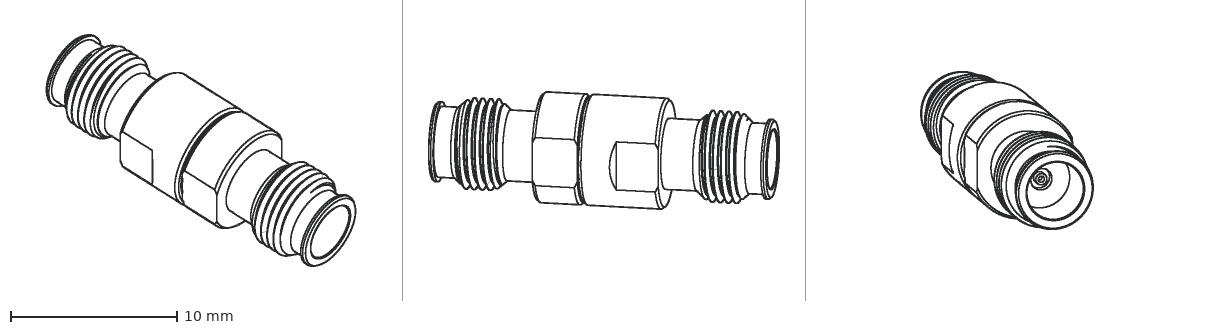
import cadquery as cq

LENGTH = 20.6
MIDDLE = LENGTH / 2

BODY_RADIUS = 3.348
BODY_START = 6.45
BODY_END = 11.29
NUT_START = 11.4
NUT_END = LENGTH - BODY_START
EDGE_LENGTH = 0.19
EDGE_DEPTH = 0.15
FLAT_OFFSET = 2.99
BODY_FLAT_END = 9.0

RUNOUT_SLOPE = 1.0
SQUARE_END = 0.0
CUT_MARGIN = 0.2

BARREL_RADIUS = 2.15
LIP_RADIUS = 2.4
LIP_LENGTH = 0.29
LIP_BEVEL_LENGTH = 0.15
LIP_BEVEL_DEPTH = 0.1

COLLAR_START = 1.32
COLLAR_END = 4.5
CONE_LENGTH = 0.7
CREST_RADIUS = 2.76
ROOT_RADIUS = 2.37
PITCH = 0.5
ROOT_WIDTH = 0.06
CREST_WIDTH = 0.05
THREAD_START = 1.3
THREAD_TURNS = 6.5
THREAD_SECTIONS = 4
MOUTH_OVERCUT = 0.02

BORE_RADIUS = 1.77
BORE_DEPTH = 2.99
BORE_BEVEL = 0.06
COAX_RADIUS = 0.65
COAX_DEPTH = 0.5
CONTACT_RADIUS = 0.35
CONTACT_HOLE_RADIUS = 0.19


def revolve_profile(points):
    """Turn an (x, radius) outline about the X axis."""
    return cq.Workplane("XY").polyline(points).close().revolve(360, (0, 0, 0), (1, 0, 0))


def disc(start, length, radius):
    """Cylinder along X."""
    return cq.Workplane("YZ").workplane(offset=start).circle(radius).extrude(length)


def chamfered_drum(start, end):
    """Cylinder of body radius, chamfered at both ends."""
    end_radius = BODY_RADIUS - EDGE_DEPTH
    return revolve_profile([
        (start, 0),
        (start, end_radius),
        (start + EDGE_LENGTH, BODY_RADIUS),
        (end - EDGE_LENGTH, BODY_RADIUS),
        (end, end_radius),
        (end, 0),
    ])


def flat_cutters(start, end, runout):
    """Two opposite blocks that cut wrench flats; runout slopes the far end outward."""
    depth = BODY_RADIUS - FLAT_OFFSET + CUT_MARGIN
    outline = [
        (start, FLAT_OFFSET),
        (end, FLAT_OFFSET),
        (end + runout * depth, FLAT_OFFSET + depth),
        (start, FLAT_OFFSET + depth),
    ]
    cutter = cq.Workplane("XY").polyline(outline).close().extrude(BODY_RADIUS, both=True)
    return cutter.union(cutter.mirror("XZ"))


def make_body():
    """Main body and nut, joined by a short neck as thick as the wrench flats."""
    body = chamfered_drum(BODY_START, BODY_END)
    body = body.cut(flat_cutters(BODY_START, BODY_FLAT_END, RUNOUT_SLOPE))
    nut = chamfered_drum(NUT_START, NUT_END)
    nut = nut.cut(flat_cutters(NUT_START, NUT_END, SQUARE_END))
    neck = disc(BODY_END, NUT_START - BODY_END, FLAT_OFFSET)
    return body.union(neck).union(nut)


def groove_section(first_turn, turns):
    """Stretch of the right-hand V groove, starting first_turn turns along the helix."""
    half_root = ROOT_WIDTH / 2
    flank_run = (PITCH - CREST_WIDTH - ROOT_WIDTH) / 2
    slope = flank_run / (CREST_RADIUS - ROOT_RADIUS)
    half_mouth = half_root + flank_run + slope * MOUTH_OVERCUT
    mouth_radius = CREST_RADIUS + MOUTH_OVERCUT
    outline = [
        (ROOT_RADIUS, -half_root),
        (mouth_radius, -half_mouth),
        (mouth_radius, half_mouth),
        (ROOT_RADIUS, half_root),
    ]
    helix = cq.Wire.makeHelix(PITCH, PITCH * turns, ROOT_RADIUS)
    groove = cq.Workplane("XZ").polyline(outline).close().sweep(helix, isFrenet=True)
    groove = groove.rotate((0, 0, 0), (0, 1, 0), 90).rotate((0, 0, 0), (1, 0, 0), 360 * first_turn)
    return groove.translate((THREAD_START + PITCH * first_turn, 0, 0))


def make_collar():
    """Double-coned collar whose thread groove runs out through both cones."""
    collar = revolve_profile([
        (COLLAR_START, 0),
        (COLLAR_START, BARREL_RADIUS),
        (COLLAR_START + CONE_LENGTH, CREST_RADIUS),
        (COLLAR_END - CONE_LENGTH, CREST_RADIUS),
        (COLLAR_END, BARREL_RADIUS),
        (COLLAR_END, 0),
    ])
    turns = THREAD_TURNS / THREAD_SECTIONS
    for index in range(THREAD_SECTIONS):
        collar = collar.cut(groove_section(index * turns, turns))
    return collar


def make_socket():
    """Volume removed from the jack: bevelled bore, then a ring around the hollow contact."""
    bore = revolve_profile([
        (0, 0),
        (0, BORE_RADIUS + BORE_BEVEL),
        (BORE_BEVEL, BORE_RADIUS),
        (BORE_DEPTH, BORE_RADIUS),
        (BORE_DEPTH, 0),
    ])
    ring = disc(BORE_DEPTH, COAX_DEPTH, COAX_RADIUS).cut(disc(BORE_DEPTH, COAX_DEPTH, CONTACT_RADIUS))
    hole = disc(BORE_DEPTH, COAX_DEPTH, CONTACT_HOLE_RADIUS)
    return bore.union(ring).union(hole)


def make_jack():
    """Jack whose mouth is at X = 0 and whose barrel reaches the body."""
    shell = revolve_profile([
        (0, 0),
        (0, LIP_RADIUS - LIP_BEVEL_DEPTH),
        (LIP_BEVEL_LENGTH, LIP_RADIUS),
        (LIP_LENGTH, LIP_RADIUS),
        (LIP_LENGTH, BARREL_RADIUS),
        (BODY_START, BARREL_RADIUS),
        (BODY_START, 0),
    ])
    return shell.union(make_collar()).cut(make_socket())


jack = make_jack()
opposite_jack = jack.rotate((MIDDLE, 0, 0), (MIDDLE, 0, 1), 180)
result = make_body().union(jack).union(opposite_jack)